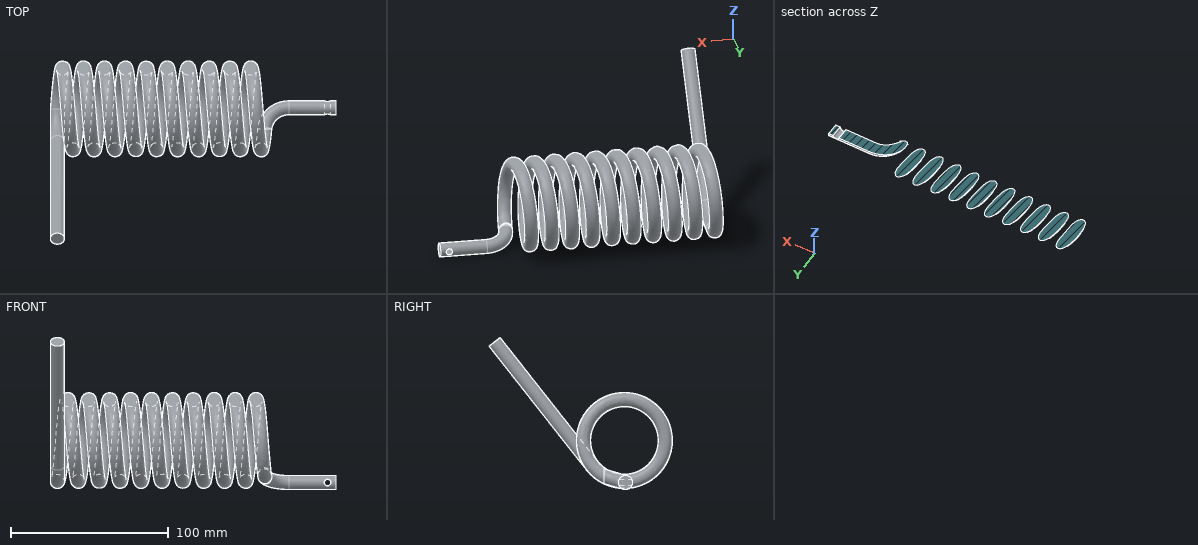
import cadquery as cq
import math

wire_diameter = 9.0
wire_radius = wire_diameter / 2
coil_radius = 26.0
coil_pitch = 13.25
full_turns = 10
end_angle = 29.5
coil_turns = full_turns - end_angle / 360

leg_angle = 51.8
leg_length = 100.0

bend_radius = 15.32
pin_z = -26.65
pin_length = 30.0
hole_diameter = 4.0
hole_end_distance = 5.5

joint_overlap = 4.0
trim_box_width = 12.0
trim_box_height = 24.0

x_axis = cq.Vector(1, 0, 0)
rise_per_radian = coil_pitch / (2 * math.pi)
lead_angle = math.atan2(rise_per_radian, coil_radius)

leg_turn = math.radians(leg_angle)
leg_start = cq.Vector(0, -coil_radius * math.sin(leg_turn), -coil_radius * math.cos(leg_turn))
leg_direction = cq.Vector(0, -math.cos(leg_turn), math.sin(leg_turn))

end_turn = math.radians(end_angle)
joint = cq.Vector(
    coil_pitch * coil_turns,
    -coil_radius * math.sin(end_turn),
    -coil_radius * math.cos(end_turn),
)

bend_run = bend_radius * math.cos(lead_angle)
bend_offset = bend_radius * (1 - math.sin(lead_angle))
bend_tilt = math.asin((joint.z - pin_z) / bend_offset)
offset_direction = cq.Vector(0, math.cos(bend_tilt), -math.sin(bend_tilt))
bend_direction = x_axis * math.sin(lead_angle) + offset_direction * math.cos(lead_angle)
pin_start = joint + x_axis * bend_run + offset_direction * bend_offset


def round_bar(start, direction, length, diameter):
    """Straight round bar from a start point along a direction."""
    return cq.Workplane(cq.Solid.makeCylinder(diameter / 2, length, start, direction))


def joint_box(side):
    """Box around the joint, on the +Y (side = 1) or -Y (side = -1) side of the joint plane."""
    center = joint + cq.Vector(0, side * trim_box_width / 2, 0)
    return cq.Workplane(cq.Plane(origin=center.toTuple())).box(trim_box_width, trim_box_width, trim_box_height)


def make_coil():
    """Helical wire, cut off flat across Y at the joint."""
    overlap_turns = joint_overlap / (2 * math.pi * coil_radius)
    helix = cq.Wire.makeHelix(coil_pitch, coil_pitch * (coil_turns + overlap_turns), coil_radius)
    helix = helix.rotate(cq.Vector(), cq.Vector(0, 1, 0), 90)
    profile = cq.Workplane("XZ", origin=(0, 0, -coil_radius)).circle(wire_radius)
    return profile.sweep(cq.Workplane(helix), isFrenet=True).cut(joint_box(1))


def make_long_leg():
    """Flat arc from the helix start and the straight run that follows it."""
    arc = (
        cq.Workplane("XZ")
        .center(0, -coil_radius)
        .circle(wire_radius)
        .revolve(leg_angle, (1, coil_radius), (-1, coil_radius))
    )
    return arc.union(round_bar(leg_start, leg_direction, leg_length, wire_diameter))


def make_short_leg():
    """Bend from the joint and the straight pin with its cross hole along Y."""
    stub_start = joint - bend_direction * joint_overlap
    stub = cq.Edge.makeLine(stub_start, joint)
    arc = cq.Edge.makeTangentArc(joint, bend_direction, pin_start)
    path = cq.Workplane(cq.Wire.assembleEdges([stub, arc]))
    profile = cq.Workplane(cq.Plane(origin=stub_start.toTuple(), normal=bend_direction.toTuple()))
    bend = profile.circle(wire_radius).sweep(path).cut(joint_box(-1))
    pin = round_bar(pin_start, x_axis, pin_length, wire_diameter)
    hole_start = pin_start + cq.Vector(pin_length - hole_end_distance, -wire_diameter, 0)
    hole = round_bar(hole_start, cq.Vector(0, 1, 0), 2 * wire_diameter, hole_diameter)
    return bend.union(pin).cut(hole)


result = make_coil().union(make_long_leg()).union(make_short_leg())